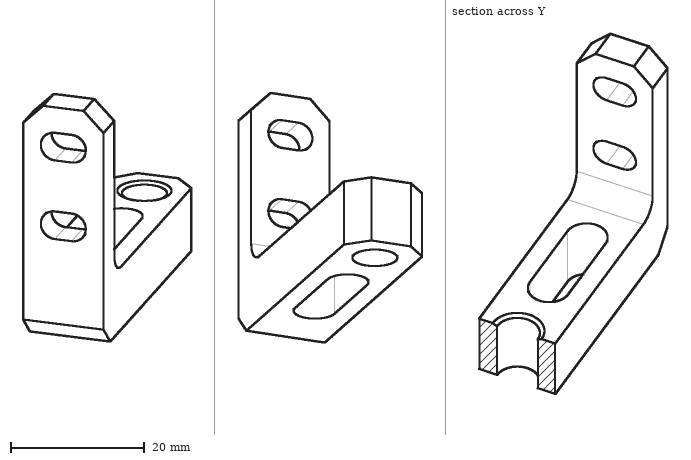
import cadquery as cq

width = 12.7
length = 44.45
height = 38.1
foot_thickness = 10.2
upright_thickness = 5.05

corner_cut = 3.15
inner_radius = 3.15

hole_inset = 6.35
hole_diameter = 6.75
countersink_diameter = 8.15
countersink_angle = 120

foot_slot_length = 19.05
foot_slot_width = width / 2
foot_slot_inset = 23.45

upright_slot_length = 7.1
upright_slot_width = 4.45
upright_slot_inset = width / 2
upright_slot_spacing = width

front_y = -length / 2
back_y = length / 2


def bracket_body():
    """L-shaped bracket with a rounded inner corner and bevelled outer corners."""
    foot = cq.Workplane("XY").box(width, length, foot_thickness, centered=(True, True, False))
    upright = (
        cq.Workplane("XY")
        .box(width, upright_thickness, height, centered=(True, False, False))
        .translate((0, front_y, 0))
    )
    inner_corner = (0, front_y + upright_thickness, foot_thickness)
    body = foot.union(upright)
    body = body.edges(cq.selectors.NearestToPointSelector(inner_corner)).fillet(inner_radius)
    body = body.faces(">Y").edges("|Z").chamfer(corner_cut)
    body = body.faces(">Z").edges("|Y").chamfer(corner_cut)
    return body.faces("<Z").edges("<Y").chamfer(corner_cut)


def cut_foot_openings(body):
    """Cut the countersunk hole and the long slot down through the foot."""
    foot_top = cq.Workplane("XY", origin=(0, 0, foot_thickness))
    slot = (
        foot_top.center(0, back_y - foot_slot_inset)
        .slot2D(foot_slot_length, foot_slot_width, 90)
        .extrude(-foot_thickness)
    )
    return (
        body.cut(slot)
        .copyWorkplane(foot_top)
        .center(0, back_y - hole_inset)
        .cskHole(hole_diameter, countersink_diameter, countersink_angle, foot_thickness)
    )


def cut_upright_slots(body):
    """Cut the two crosswise slots through the upright."""
    upper_z = height - upright_slot_inset
    slots = (
        cq.Workplane("XZ", origin=(0, front_y, 0))
        .pushPoints([(0, upper_z), (0, upper_z - upright_slot_spacing)])
        .slot2D(upright_slot_length, upright_slot_width)
        .extrude(-upright_thickness)
    )
    return body.cut(slots)


result = cut_upright_slots(cut_foot_openings(bracket_body()))